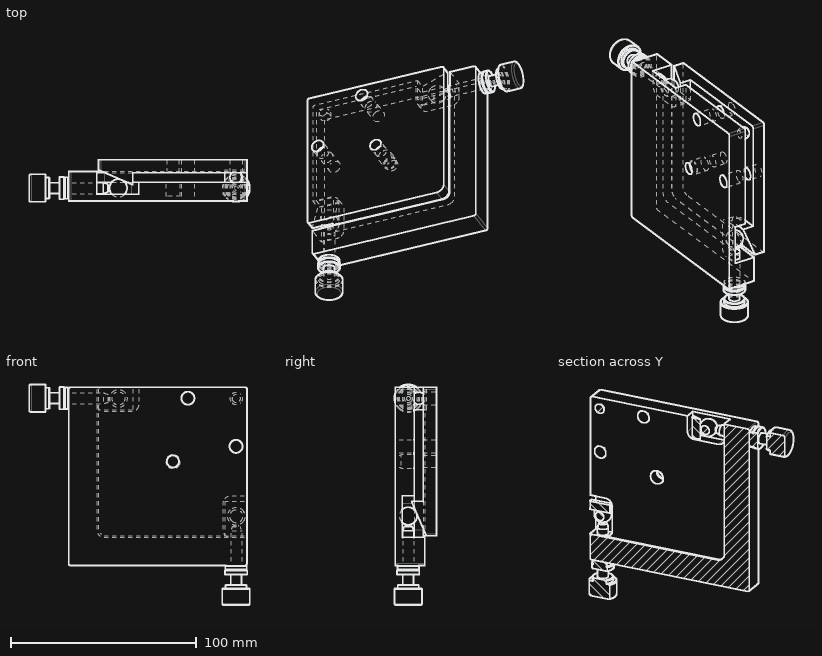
import cadquery as cq
import math


base_size = 96.0
frame_height = 15.9
frame_width = 15.2
base_thickness = 10.2
outer_corner_radius = 1.2
inner_corner_radius = 4.0

plate_start = 16.0
plate_under = 15.2
plate_back = 22.3
plate_inner_corner_radius = 4.2

axis_depth = 7.0
axis_edge_distance = 6.0
axis_position = base_size - axis_edge_distance
pocket_floor = 3.8
pocket_end = 37.7
pocket_width = 14.3

wedge_width = 12.1
wedge_top = 16.8
wedge_tip = 8.8
wedge_end = 34.6
wedge_slope = (wedge_top - wedge_tip) / (wedge_end - plate_start)
wedge_angle = math.atan(wedge_slope)
slope_under_position = plate_start + (wedge_top - plate_under) / wedge_slope

knob_radius = 7.5
knob_outer_end = -21.3
knob_inner_end = -12.2
knob_rounding = 1.1
edge_chamfer = 0.4
hub_radius = 5.7
hub_end = -10.2
shaft_radius = 3.0
collar_radius = 6.1
collar_start = -5.0
nut_radius = 5.8
nut_start = -2.3
nose_start = 18.7
nose_end = 21.0
nose_radius = 2.1
neck_start = 21.5
neck_radius = 1.1
drive_ball_radius = 4.8
drive_ball_position = plate_start + (
    wedge_top - axis_depth - drive_ball_radius / math.cos(wedge_angle)
) / wedge_slope

pivot_radius = 3.3
pivot_depth = (base_thickness + plate_under) / 2

edge_hole_diameter = 6.9
edge_hole_position = 64.2
center_hole_diameter = 6.4
center_hole_position = 56.1
relief_diameter = 7.6
relief_floor = 3.0


def swap_x_and_z(shape):
    """Mirror a shape about the diagonal plane X = Z."""
    return shape.mirror(cq.Vector(1, 0, -1))


def block(x_range, y_range, z_range):
    """Box spanning the given (low, high) range along each axis."""
    size = [high - low for low, high in (x_range, y_range, z_range)]
    corner = (x_range[0], y_range[0], z_range[0])
    return cq.Workplane("XY").box(*size, centered=False).translate(corner)


def ball(radius, center):
    return cq.Workplane("XY").sphere(radius).translate(center)


def drive_ball():
    return ball(drive_ball_radius, (drive_ball_position, axis_depth, axis_position))


def pivot_ball():
    return ball(pivot_radius, (axis_position, pivot_depth, axis_position))


def through_holes():
    """Cutters for the three holes that run through both plates along Y."""
    holes = (
        (edge_hole_position, axis_position, edge_hole_diameter),
        (axis_position, edge_hole_position, edge_hole_diameter),
        (center_hole_position, center_hole_position, center_hole_diameter),
    )
    cutters = cq.Workplane("XY")
    for x, z, diameter in holes:
        cutter = cq.Workplane("XZ").center(x, z).circle(diameter / 2).extrude(-plate_back)
        cutters = cutters.add(cutter)
    return cutters.combine()


def center_relief():
    """Cutter that widens the center hole at the inner side of the base."""
    return (
        cq.Workplane("XZ", origin=(0, relief_floor, 0))
        .center(center_hole_position, center_hole_position)
        .circle(relief_diameter / 2)
        .extrude(relief_floor - base_thickness)
    )


def drive_cavity():
    """Pocket, ball seat and screw bore of the X axis drive."""
    pocket = block(
        (frame_width, pocket_end),
        (pocket_floor, frame_height),
        (axis_position - pocket_width / 2, base_size + inner_corner_radius),
    ).edges("|Y and <Z").fillet(inner_corner_radius)
    bore = (
        cq.Workplane("YZ")
        .center(axis_depth, axis_position)
        .circle(shaft_radius)
        .extrude(drive_ball_position)
    )
    return pocket.union(bore).union(drive_ball())


def make_base():
    base = block((0, base_size), (0, frame_height), (0, base_size))
    base = base.edges("|Y").fillet(outer_corner_radius)
    recess = block(
        (frame_width, base_size), (base_thickness, frame_height), (frame_width, base_size)
    ).edges("|Y and <X and <Z").fillet(inner_corner_radius)
    cavity = drive_cavity()
    base = base.cut(recess).cut(cavity).cut(swap_x_and_z(cavity))
    return base.cut(through_holes()).cut(center_relief()).union(pivot_ball())


def wedge_prism(points):
    """Extrude an XY outline across the width of the wedge."""
    prism = cq.Workplane("XY").polyline(points).close().extrude(wedge_width)
    return prism.translate((0, 0, base_size - wedge_width))


def make_plate():
    plate_span = (plate_start, base_size)
    plate = block(plate_span, (plate_under, plate_back), plate_span)
    plate = plate.edges("|Y and <X and <Z").fillet(plate_inner_corner_radius)
    plate = plate.edges("|Y").edges(">X or >Z").fillet(outer_corner_radius)
    slope_relief = wedge_prism([
        (plate_start, wedge_top),
        (slope_under_position, plate_under),
        (plate_start, plate_under),
    ])
    wedge = wedge_prism([
        (slope_under_position, plate_under),
        (wedge_end, wedge_tip),
        (wedge_end, plate_under),
    ])
    plate = plate.cut(slope_relief).cut(swap_x_and_z(slope_relief))
    plate = plate.union(wedge).union(swap_x_and_z(wedge))
    return plate.cut(through_holes()).cut(pivot_ball())


def ring(radius, start, end):
    """Disc on the X axis from start to end."""
    return cq.Workplane("YZ").workplane(offset=start).circle(radius).extrude(end - start)


def make_screw():
    """Adjuster screw of the X axis, with its knob, collar and ball tip."""
    knob = ring(knob_radius, knob_outer_end, knob_inner_end)
    knob = knob.faces("<X").edges().fillet(knob_rounding)
    knob = knob.faces(">X").edges().chamfer(edge_chamfer)
    hub = ring(hub_radius, knob_inner_end, hub_end).faces(">X").edges().chamfer(edge_chamfer)
    collar = ring(collar_radius, collar_start, nut_start).edges().chamfer(edge_chamfer)
    nut = ring(nut_radius, nut_start, 0).edges().chamfer(edge_chamfer)
    shaft = (
        cq.Workplane("XY")
        .moveTo(knob_inner_end, 0)
        .lineTo(knob_inner_end, shaft_radius)
        .lineTo(nose_start, shaft_radius)
        .lineTo(nose_end, nose_radius)
        .lineTo(neck_start, neck_radius)
        .lineTo(drive_ball_position, neck_radius)
        .lineTo(drive_ball_position, 0)
        .close()
        .revolve(360, (0, 0, 0), (1, 0, 0))
    )
    screw = knob.union(hub).union(shaft).union(collar).union(nut)
    return screw.translate((0, axis_depth, axis_position)).union(drive_ball())


base = make_base()
plate = make_plate()

screws = []
for swapped in (False, True):
    screw = make_screw()
    if swapped:
        screw = swap_x_and_z(screw)
    screws.append(screw.val())

result = cq.Compound.makeCompound([base.val(), plate.val(), *screws])